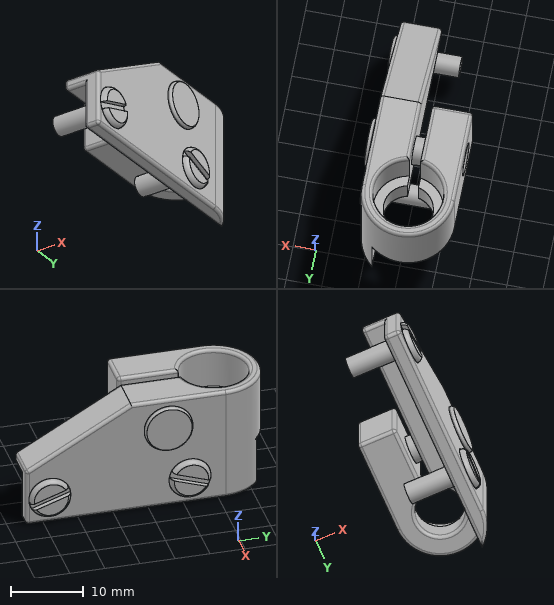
import cadquery as cq
import math

LENGTH = 35.0
WIDTH = 13.0
CLAMP_HEIGHT = 10.0
SHORT_JAW_LENGTH = 20.0
SLOPE_END_HEIGHT = 1.5
SLOT_WIDTH = 1.5
EDGE_RADIUS = 0.5

FLANGE_DROP = 7.0
FLANGE_THICKNESS = 2.38

BORE_DIAMETER = 9.75
THROUGH_DIAMETER = 6.9
BORE_FLOOR_Z = 4.15

END_RADIUS = WIDTH / 2
END_Y = END_RADIUS - LENGTH
SHORT_JAW_Y = END_RADIUS - SHORT_JAW_LENGTH
FLANGE_X = END_RADIUS - FLANGE_THICKNESS

BOLT_Y = -8.2
BOLT_Z = 5.5
BOLT_DIAMETER = 4.0
BOLT_HEAD_DIAMETER = 6.9
BOLT_HEAD_FLAT_DIAMETER = 6.45
BOLT_HEAD_HEIGHT = 0.63
BOLT_HEAD_RIM = 0.15
BOLT_HOLE_DEPTH = 1.6
BOLT_HOLE_CHAMFER = 0.3

FAR_SCREW_Y = -5.1
SCREW_SPACING = 20.0
SCREW_Z = -3.0
SCREW_DIAMETER = 3.0
SCREW_LENGTH = 9.0
SCREW_HEAD_DIAMETER = 5.9
SCREW_HEAD_FLAT_DIAMETER = 4.85
SCREW_HEAD_PROTRUSION = 0.8
HEAD_RECESS_DIAMETER = 6.0
HEAD_RECESS_DEPTH = FLANGE_THICKNESS / 2
DRIVE_SLOT_WIDTH = 1.0
DRIVE_SLOT_TILT = 19.0

SCREWS = [
    (FAR_SCREW_Y, -DRIVE_SLOT_TILT),
    (FAR_SCREW_Y - SCREW_SPACING, DRIVE_SLOT_TILT),
]

TOLERANCE = 0.005


def box_between(corner, opposite):
    """A box given by two opposite corners."""
    size = [high - low for low, high in zip(corner, opposite)]
    return cq.Workplane("XY").box(*size, centered=False).translate(corner)


def x_cylinder(diameter, x_start, x_end, y, z):
    """A cylinder along X between two X positions."""
    return (
        cq.Workplane("YZ", origin=(x_start, y, z))
        .circle(diameter / 2)
        .extrude(x_end - x_start)
    )


def domed_head(diameter, flat_diameter, rim, height):
    """A round head along X from X = 0: a straight rim, a tangent arc and a flat top."""
    profile = (
        cq.Workplane("XY")
        .lineTo(0, diameter / 2)
        .lineTo(rim, diameter / 2)
        .tangentArcPoint((height, flat_diameter / 2), relative=False)
        .lineTo(height, 0)
        .close()
    )
    return profile.revolve(360, (0, 0, 0), (1, 0, 0))


def make_outline_block():
    """The full-height bracket block, rounded at its +Y end."""
    return (
        cq.Workplane("XY", origin=(0, 0, -FLANGE_DROP))
        .moveTo(-END_RADIUS, END_Y)
        .lineTo(-END_RADIUS, 0)
        .threePointArc((0, END_RADIUS), (END_RADIUS, 0))
        .lineTo(END_RADIUS, END_Y)
        .close()
        .extrude(FLANGE_DROP + CLAMP_HEIGHT)
    )


def cut_jaws(body):
    """Leave only the flange below the clamp, shorten one jaw and open the slot."""
    half_slot = SLOT_WIDTH / 2
    beside_flange = box_between((-END_RADIUS, END_Y, -FLANGE_DROP), (FLANGE_X, END_RADIUS, 0))
    past_short_jaw = box_between((-END_RADIUS, END_Y, 0), (half_slot, SHORT_JAW_Y, CLAMP_HEIGHT))
    slot = box_between((-half_slot, END_Y, 0), (half_slot, 0, CLAMP_HEIGHT))
    return body.cut(beside_flange).cut(past_short_jaw).cut(slot)


def cut_slope(body):
    """Slope the top of the long jaw down to its end."""
    wedge = (
        cq.Workplane("YZ", origin=(-END_RADIUS, 0, 0))
        .moveTo(SHORT_JAW_Y, CLAMP_HEIGHT)
        .lineTo(END_Y, CLAMP_HEIGHT)
        .lineTo(END_Y, SLOPE_END_HEIGHT)
        .close()
        .extrude(WIDTH)
    )
    return body.cut(wedge)


def cut_bore(body):
    """The stepped bore: wide from the top to its floor, narrower through the floor."""
    wide = (
        cq.Workplane("XY", origin=(0, 0, BORE_FLOOR_Z))
        .circle(BORE_DIAMETER / 2)
        .extrude(CLAMP_HEIGHT - BORE_FLOOR_Z)
    )
    narrow = cq.Workplane("XY").circle(THROUGH_DIAMETER / 2).extrude(BORE_FLOOR_Z)
    return body.cut(wide).cut(narrow)


def is_rounded(edge):
    """True for all edges but the bore floor, the flange corner, the slope bend and inner verticals."""
    start, end, middle = edge.startPoint(), edge.endPoint(), edge.Center()
    vertical = math.hypot(start.x - end.x, start.y - end.y) < TOLERANCE
    if vertical:
        return middle.y < SHORT_JAW_Y + TOLERANCE
    on_bore_floor = abs(middle.z - BORE_FLOOR_Z) < TOLERANCE
    on_flange_corner = (
        max(abs(start.x - FLANGE_X), abs(end.x - FLANGE_X), abs(middle.z)) < TOLERANCE
    )
    on_slope_bend = (
        middle.x > 0
        and abs(middle.y - SHORT_JAW_Y) < TOLERANCE
        and abs(middle.z - CLAMP_HEIGHT) < TOLERANCE
    )
    return not (on_bore_floor or on_flange_corner or on_slope_bend)


def round_edges(body):
    edges = [edge for edge in body.edges().vals() if is_rounded(edge)]
    return body.newObject(edges).fillet(EDGE_RADIUS)


def add_bolt(body):
    """Add the clamp bolt, whose tip ends inside a chamfered hole in the short jaw."""
    tip_x = BOLT_HOLE_DEPTH - END_RADIUS
    hole = x_cylinder(BOLT_DIAMETER, -END_RADIUS, tip_x, BOLT_Y, BOLT_Z)
    mouth = cq.Solid.makeCone(
        BOLT_DIAMETER / 2 + BOLT_HOLE_CHAMFER,
        BOLT_DIAMETER / 2,
        BOLT_HOLE_CHAMFER,
        pnt=cq.Vector(-END_RADIUS, BOLT_Y, BOLT_Z),
        dir=cq.Vector(1, 0, 0),
    )
    shank = x_cylinder(BOLT_DIAMETER, tip_x, END_RADIUS, BOLT_Y, BOLT_Z)
    head = domed_head(
        BOLT_HEAD_DIAMETER, BOLT_HEAD_FLAT_DIAMETER, BOLT_HEAD_RIM, BOLT_HEAD_HEIGHT
    ).translate((END_RADIUS, BOLT_Y, BOLT_Z))
    return body.cut(hole).cut(cq.Workplane(mouth)).union(shank).union(head)


def cut_screw_seats(body):
    """A hole and a head recess in the flange for each screw."""
    for y, _ in SCREWS:
        hole = x_cylinder(SCREW_DIAMETER, FLANGE_X, END_RADIUS, y, SCREW_Z)
        recess = x_cylinder(
            HEAD_RECESS_DIAMETER, END_RADIUS - HEAD_RECESS_DEPTH, END_RADIUS, y, SCREW_Z
        )
        body = body.cut(hole).cut(recess)
    return body


def make_bracket():
    body = cut_bore(cut_slope(cut_jaws(make_outline_block())))
    body = round_edges(body)
    return cut_screw_seats(add_bolt(body))


def make_screw(y, slot_tilt):
    """A screw with a domed, slotted head; its slot is as deep as the head stands out."""
    seat_x = END_RADIUS - HEAD_RECESS_DEPTH
    shank = x_cylinder(SCREW_DIAMETER, END_RADIUS - SCREW_LENGTH, seat_x, y, SCREW_Z)
    head = domed_head(
        SCREW_HEAD_DIAMETER,
        SCREW_HEAD_FLAT_DIAMETER,
        HEAD_RECESS_DEPTH,
        HEAD_RECESS_DEPTH + SCREW_HEAD_PROTRUSION,
    ).translate((seat_x, y, SCREW_Z))
    drive_slot = (
        cq.Workplane("XY")
        .box(
            SCREW_HEAD_PROTRUSION,
            2 * SCREW_HEAD_DIAMETER,
            DRIVE_SLOT_WIDTH,
            centered=(False, True, True),
        )
        .rotate((0, 0, 0), (1, 0, 0), slot_tilt)
        .translate((END_RADIUS, y, SCREW_Z))
    )
    return shank.union(head).cut(drive_slot)


bracket = make_bracket()
screws = [make_screw(y, slot_tilt) for y, slot_tilt in SCREWS]

result = cq.Compound.makeCompound([bracket.solids().val(), *[screw.solids().val() for screw in screws]])